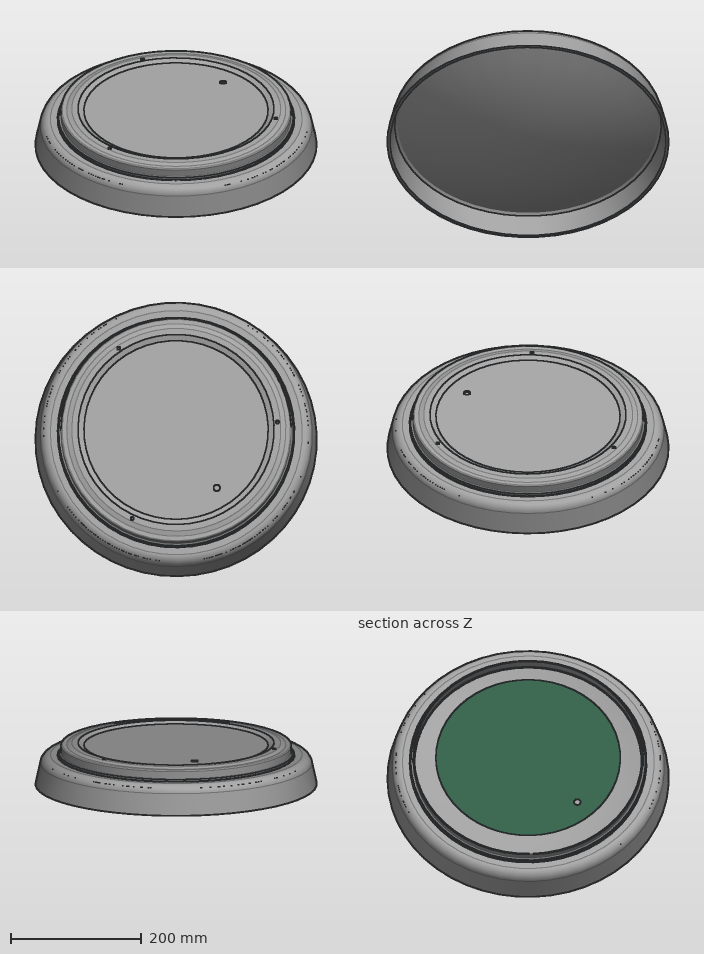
import cadquery as cq
import math

overall_height = 69.2
ridge_height = 64.5
lens_sag = overall_height - ridge_height

rim_radius = 215.0
shoulder_radius = 207.5
shoulder_height = 33.5
shade_top_radius = 192.0
shade_height = 46.0
shade_wall = 4.5
seat_radius = 180.5 + 0.5
seat_depth = 1.5
seat_height = shade_height - seat_depth

pan_radius = 176.0
pan_inner_radius = 346.5 / 2
sheet = pan_radius - pan_inner_radius
pan_height = 62.5
ledge_fillet = 1.7
flange_radius = 358.0 / 2
flange_top = 48.5
flange_fillet = 1.0
ridge_foot_radius = 167.3
ridge_outer_radius = 159.5
ridge_inner_radius = 149.5
floor_radius = 140.5
floor_height = 61.0
cable_hole_diameter = 10.0
cable_hole_offset = 110.0
screw_hole_diameter = 4.7
screw_circle_radius = 155.2
screw_angles = (30, 150, 270)

lens_rim_crossing = 69.0
lens_thickness = 2.0


def revolved(outline):
    """Turn a closed radius-height outline about the Z axis."""
    return outline.close().revolve(360, (0, 0, 0), (0, 1, 0))


def make_shade():
    ceiling = shade_height - shade_wall
    return revolved(
        cq.Workplane("XZ")
        .moveTo(rim_radius - shade_wall, 0)
        .lineTo(rim_radius, 0)
        .lineTo(shoulder_radius, shoulder_height)
        .tangentArcPoint((shade_top_radius, shade_height), relative=False)
        .lineTo(seat_radius, shade_height)
        .lineTo(seat_radius, seat_height)
        .lineTo(pan_inner_radius, seat_height)
        .lineTo(pan_inner_radius, ceiling)
        .lineTo(shade_top_radius, ceiling)
        .lineTo(shoulder_radius - shade_wall, shoulder_height)
    )


def make_pan():
    pan = revolved(
        cq.Workplane("XZ")
        .moveTo(0, floor_height)
        .lineTo(floor_radius, floor_height)
        .lineTo(ridge_inner_radius, ridge_height)
        .lineTo(ridge_outer_radius, ridge_height)
        .lineTo(ridge_foot_radius, pan_height)
        .lineTo(pan_radius - ledge_fillet, pan_height)
        .tangentArcPoint((ledge_fillet, -ledge_fillet))
        .lineTo(pan_radius, flange_top + flange_fillet)
        .tangentArcPoint((flange_fillet, -flange_fillet))
        .lineTo(flange_radius, flange_top)
        .lineTo(flange_radius, seat_height)
        .lineTo(pan_inner_radius, seat_height)
        .lineTo(pan_inner_radius, pan_height - sheet)
        .lineTo(ridge_foot_radius, pan_height - sheet)
        .lineTo(ridge_outer_radius, ridge_height - sheet)
        .lineTo(ridge_inner_radius, ridge_height - sheet)
        .lineTo(floor_radius, floor_height - sheet)
        .lineTo(0, floor_height - sheet)
    )
    cable_hole = (
        cq.Workplane("XY").center(0, cable_hole_offset)
        .circle(cable_hole_diameter / 2).extrude(overall_height)
    )
    pan = pan.cut(cable_hole)
    for angle in screw_angles:
        x = screw_circle_radius * math.cos(math.radians(angle))
        y = screw_circle_radius * math.sin(math.radians(angle))
        screw_hole = (
            cq.Workplane("XY").center(x, y)
            .circle(screw_hole_diameter / 2).extrude(overall_height)
        )
        pan = pan.cut(screw_hole)
    return pan


def make_lens():
    outer_radius = (lens_rim_crossing**2 + lens_sag**2) / (2 * lens_sag)
    inner_radius = outer_radius - lens_thickness
    centre_height = outer_radius - lens_sag
    wall_angle = math.atan2(rim_radius - shoulder_radius, shoulder_height)

    def point(radius, angle):
        """Point of a lens sphere at an angle from straight down."""
        return (radius * math.sin(angle), centre_height - radius * math.cos(angle))

    def edge_angle(radius):
        """Angle at which a lens sphere meets the tapered inside of the shade."""
        inside_rim = (rim_radius - shade_wall) * math.cos(wall_angle)
        wall_offset = inside_rim - centre_height * math.sin(wall_angle)
        return wall_angle + math.asin(wall_offset / radius)

    outer_edge = edge_angle(outer_radius)
    inner_edge = edge_angle(inner_radius)
    return revolved(
        cq.Workplane("XZ")
        .moveTo(*point(outer_radius, 0))
        .threePointArc(point(outer_radius, outer_edge / 2), point(outer_radius, outer_edge))
        .lineTo(*point(inner_radius, inner_edge))
        .threePointArc(point(inner_radius, inner_edge / 2), point(inner_radius, 0))
    )


shade = make_shade()
pan = make_pan()
lens = make_lens()

result = cq.Compound.makeCompound([shade.val(), pan.val(), lens.val()])